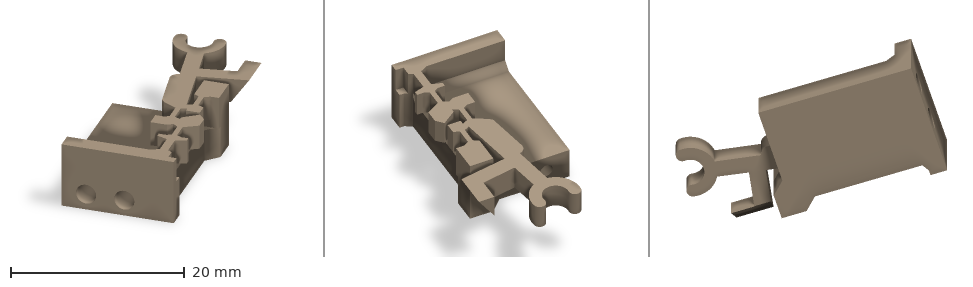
import cadquery as cq
import math

total_length = 30.17
total_width = 15.57
total_height = 8.0
body_width = 13.65
base_height = 3.98
gap_height = 1.0
arm_bottom = base_height + gap_height
arm_thickness = total_height - arm_bottom

wall_thickness = 2.02
base_side = 12.15
base_back = 18.5
foot_back = 20.03
wall_notch = 1.0

web_left, web_right = 11.28, 11.92
link_left, link_right = 9.62, 10.25
root_left, root_right = 11.1, 12.1
root_flare_left, root_flare_right = 10.15, 13.03
root_flare_top = 2.53
anchor_left, anchor_front = 10.62, 16.47
cross_bottom, cross_top = 5.1, 6.35
middle_bottom, middle_top = 8.4, 10.53
upper_bottom, upper_top = 12.6, 14.05
anchor_web_end = 16.08

hook_inner = 13.58
hook_back = 26.13
hook_relief_angle = 35.0

fork_center_x = 7.1
fork_inner_radius = 1.6
prong_width = 1.5
prong_radius = prong_width / 2
fork_outer_radius = fork_inner_radius + prong_width
fork_mid_radius = fork_inner_radius + prong_radius
right_prong_angle, left_prong_angle = 11.0, 174.0
fork_center_y = (
    total_length - prong_radius - fork_mid_radius * math.sin(math.radians(right_prong_angle))
)

hole_positions = (3.0, 7.63)
hole_height = 2.0
hole_front_diameter = 2.45
hole_back_diameter = 1.6
hole_front_depth = 10.02


def prism(points, bottom, height):
    """Extrude a plan outline upward from the given level."""
    return cq.Workplane("XY", origin=(0, 0, bottom)).polyline(points).close().extrude(height)


def arm_piece(points):
    return prism(points, arm_bottom, arm_thickness)


def web(left, right, front, back):
    return arm_piece([(left, front), (right, front), (right, back), (left, back)])


def make_base():
    foot_chamfer = foot_back - base_back
    foot_flare = body_width - base_side
    flare_end = 17.02
    base = prism(
        [
            (0, 0), (body_width, 0), (body_width, wall_thickness),
            (root_flare_right, wall_thickness), (base_side, root_flare_top),
            (base_side, flare_end - foot_flare), (body_width, flare_end),
            (body_width, foot_back), (anchor_left, foot_back),
            (anchor_left - foot_chamfer, base_back), (0, base_back),
        ],
        0, base_height,
    )
    wall = prism(
        [
            (0, 0), (body_width, 0), (body_width, wall_thickness),
            (root_flare_right, wall_thickness), (base_side, root_flare_top),
            (base_side, wall_thickness), (0, wall_thickness),
        ],
        base_height, total_height - base_height,
    )
    gusset = (
        cq.Workplane("YZ")
        .moveTo(wall_thickness, base_height)
        .lineTo(wall_thickness + gap_height, base_height)
        .lineTo(wall_thickness, arm_bottom)
        .close()
        .extrude(base_side)
    )
    return base.union(wall).union(gusset)


def make_root_and_cross():
    tip_left, tip_right = 9.8, 13.4
    tip_front, tip_back = 5.5, 6.03
    fillet_left, fillet_right = 10.75, 12.55
    return arm_piece([
        (root_flare_left, wall_thickness), (root_flare_right, wall_thickness),
        (root_right, root_flare_top), (root_right, cross_bottom),
        (tip_right, tip_front), (tip_right, tip_back), (fillet_right, tip_back),
        (web_right, cross_top), (web_left, cross_top),
        (fillet_left, tip_back), (tip_left, tip_back), (tip_left, tip_front),
        (root_left, cross_bottom), (root_left, root_flare_top),
    ])


def make_middle_block():
    block_left, block_back = 8.0, 10.2
    return arm_piece([
        (block_left, middle_bottom), (10.02, middle_bottom), (10.62, 8.78),
        (web_left, middle_bottom), (web_right, middle_bottom),
        (body_width, 9.38), (body_width, 11.05), (12.82, 11.92), (10.98, 10.6),
        (10.98, block_back), (link_right, middle_top), (link_left, middle_top),
        (9.1, block_back), (block_left, block_back),
    ])


def make_lever():
    """Lever with its side lug, rounded shoulder, stem and hook."""
    lug_left, lug_right, lug_front = 10.98, 12.67, 12.37
    return (
        cq.Workplane("XY", origin=(0, 0, arm_bottom))
        .moveTo(link_left, upper_bottom)
        .lineTo(link_right, upper_bottom)
        .lineTo(lug_left, 12.95)
        .lineTo(lug_left, lug_front)
        .lineTo(lug_right, lug_front)
        .lineTo(lug_right, 13.73)
        .lineTo(web_right, upper_top)
        .lineTo(web_left, upper_top)
        .lineTo(10.62, 13.73)
        .lineTo(9.47, 20.65)
        .lineTo(total_width, 21.63)
        .lineTo(total_width, hook_back)
        .lineTo(hook_inner, hook_back)
        .lineTo(hook_inner, 23.32)
        .lineTo(9.17, 22.57)
        .lineTo(8.55, 26.35)
        .lineTo(6.6, 26.05)
        .lineTo(7.48, 20.58)
        .threePointArc((6.88, 20.2), (6.65, 19.43))
        .lineTo(7.55, 13.95)
        .lineTo(7.9, 13.58)
        .close()
        .extrude(arm_thickness)
    )


def cut_hook_relief(lever):
    """Slope the outer side of the hook inward toward its bottom."""
    relief_width = arm_thickness * math.tan(math.radians(hook_relief_angle))
    relief = (
        cq.Workplane("XZ")
        .moveTo(total_width, total_height)
        .lineTo(total_width, arm_bottom)
        .lineTo(total_width - relief_width, arm_bottom)
        .close()
        .extrude(-hook_back)
    )
    clearance = cq.Workplane("XY").box(total_width, foot_back, total_height, centered=False)
    return lever.cut(relief.cut(clearance))


def fork_point(radius, angle):
    a = math.radians(angle)
    return (fork_center_x + radius * math.cos(a), fork_center_y + radius * math.sin(a))


def make_fork():
    bottom_angle = 270
    return (
        cq.Workplane("XY", origin=(0, 0, arm_bottom))
        .moveTo(*fork_point(fork_outer_radius, left_prong_angle))
        .threePointArc(
            fork_point(fork_outer_radius, bottom_angle),
            fork_point(fork_outer_radius, right_prong_angle),
        )
        .tangentArcPoint(fork_point(fork_inner_radius, right_prong_angle), relative=False)
        .threePointArc(
            fork_point(fork_inner_radius, bottom_angle),
            fork_point(fork_inner_radius, left_prong_angle),
        )
        .tangentArcPoint(fork_point(fork_outer_radius, left_prong_angle), relative=False)
        .close()
        .extrude(arm_thickness)
    )


def make_anchor():
    """Anchor block standing on the foot, with the flare of its hinge web."""
    pillar = prism(
        [
            (anchor_left, anchor_front), (body_width, anchor_front),
            (body_width, foot_back), (anchor_left, foot_back),
        ],
        base_height, total_height - base_height,
    )
    flare = arm_piece([
        (web_left, anchor_web_end), (web_right, anchor_web_end),
        (12.58, anchor_front), (anchor_left, anchor_front),
    ])
    return pillar.union(flare)


def stepped_hole(x):
    """Wide front bore that narrows through a 45 degree shoulder to a smaller through hole."""
    front_radius = hole_front_diameter / 2
    back_radius = hole_back_diameter / 2
    shoulder_end = hole_front_depth + front_radius - back_radius
    return (
        cq.Workplane("XY", origin=(x, 0, hole_height))
        .lineTo(front_radius, 0)
        .lineTo(front_radius, hole_front_depth)
        .lineTo(back_radius, shoulder_end)
        .lineTo(back_radius, base_back)
        .lineTo(0, base_back)
        .close()
        .revolve(360, (0, 0), (0, 1))
    )


result = make_base()
arm_pieces = (
    make_root_and_cross(),
    web(web_left, web_right, cross_top, middle_bottom),
    make_middle_block(),
    web(link_left, link_right, middle_top, upper_bottom),
    cut_hook_relief(make_lever()),
    make_fork(),
    web(web_left, web_right, upper_top, anchor_web_end),
    make_anchor(),
)
for piece in arm_pieces:
    result = result.union(piece)

for hole_x in hole_positions:
    result = result.cut(stepped_hole(hole_x))

corner_notch = cq.Workplane(
    "XY", origin=(body_width - wall_notch, wall_thickness - wall_notch, arm_bottom)
).box(wall_notch, 2 * wall_notch, arm_thickness, centered=False)
result = result.cut(corner_notch)